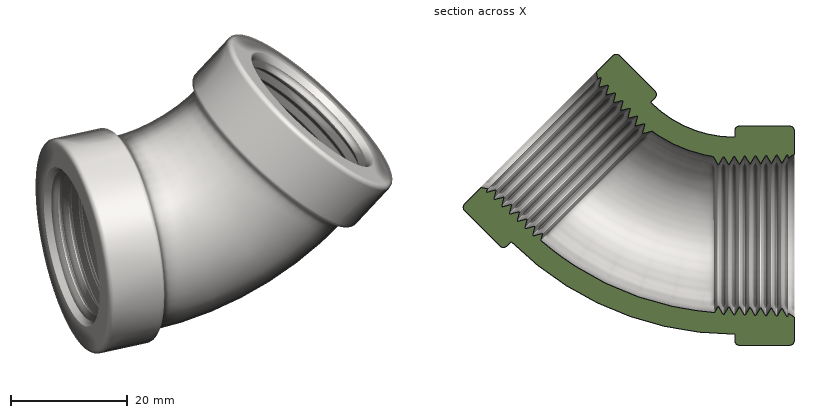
import cadquery as cq
import math

bend_angle = 45
center_to_end = 25.65
band_diameter = 37.6
band_length = 10.25
band_fillet = 0.85
body_radius = 16.9

chamfer_radius = 13.95
chamfer_end_radius = 13.2
chamfer_depth = 1.1
thread_pitch = 1.8
first_crest_depth = 2.15
first_crest_radius = 12.4
crest_count = 7
crest_width = 0.1
taper_per_pitch = thread_pitch / 32
flank_run = thread_pitch / 2 - crest_width
thread_height = flank_run * math.tan(math.radians(60))
last_crest_depth = first_crest_depth + (crest_count - 1) * thread_pitch
socket_depth = last_crest_depth + crest_width / 2
last_crest_radius = first_crest_radius - (crest_count - 1) * taper_per_pitch
bore_radius = 13.2

bend_radius = (center_to_end - band_length) / math.tan(math.radians(bend_angle / 2))


def pipe(radius):
    """Solid round bar along the elbow centerline, from mouth to mouth."""
    inlet = cq.Workplane("XZ").circle(radius).extrude(-band_length)
    bend = (
        cq.Workplane("XZ", origin=(0, band_length, 0))
        .circle(radius)
        .revolve(bend_angle, (-0.55, bend_radius, 0), (0.55, bend_radius, 0))
    )
    return inlet.union(bend).union(at_outlet(inlet))


def at_outlet(inlet_shape):
    """Copy of an inlet feature, turned around onto the outlet leg."""
    corner = (0, center_to_end, 0)
    corner_axis_end = (1, center_to_end, 0)
    return inlet_shape.rotate(corner, corner_axis_end, 180 + bend_angle)


def band():
    """Thick collar with both rims rounded."""
    collar = cq.Workplane("XZ").circle(band_diameter / 2).extrude(-band_length)
    return collar.edges().fillet(band_fillet)


def socket_cutter():
    """Chamfered mouth and tapered thread rings, revolved about the inlet axis."""
    half_crest = crest_width / 2
    profile = [(0, 0), (chamfer_radius, 0), (chamfer_end_radius, chamfer_depth)]
    for ring in range(crest_count):
        crest_depth = first_crest_depth + ring * thread_pitch
        crest_radius = first_crest_radius - ring * taper_per_pitch
        root_radius = crest_radius + thread_height
        root_end = crest_depth - half_crest - flank_run
        profile += [
            (root_radius, root_end - crest_width),
            (root_radius, root_end),
            (crest_radius, crest_depth - half_crest),
            (crest_radius, crest_depth + half_crest),
        ]
    profile.append((0, socket_depth))
    return cq.Workplane("XY").polyline(profile).close().revolve(360, (0, 0, 0), (0, 1, 0))


def socket_wall():
    """Solid end zone of the waterway, with the last thread flank on its inner end."""
    flank_slope = thread_height / flank_run
    outer_depth = socket_depth + (body_radius - last_crest_radius) / flank_slope
    profile = [
        (0, 0),
        (body_radius, 0),
        (body_radius, outer_depth),
        (last_crest_radius, socket_depth),
        (0, socket_depth),
    ]
    return cq.Workplane("XY").polyline(profile).close().revolve(360, (0, 0, 0), (0, 1, 0))


collar = band()
socket = socket_cutter()
wall = socket_wall()

outside = pipe(body_radius).union(collar).union(at_outlet(collar))
waterway = pipe(bore_radius).cut(wall).cut(at_outlet(wall))
result = outside.cut(waterway).cut(socket).cut(at_outlet(socket))